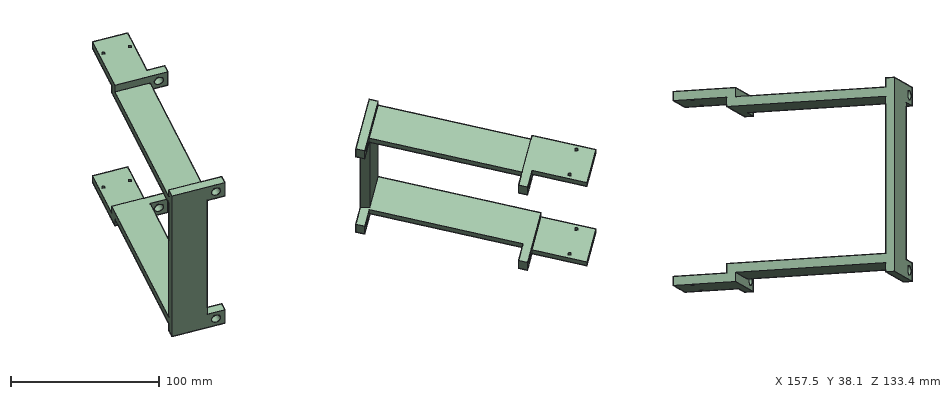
import cadquery as cq

length = 157.5
depth = 38.1
height = 133.4

thickness = 6.3
arm_width = 25.4
tip_length = 44.4
tab_height = 12.8
beam_thickness = tab_height - thickness
wall_rear_taper = 1.5

mount_hole_diameter = 6.5
mount_hole_inset = 6.5
pin_hole_diameter = 2.0
pin_hole_x = 12.8
pin_hole_edge = 3.1

top_z = height / 2
mount_hole_z = top_z - mount_hole_inset
step_x = tip_length - thickness
wall_x = length - thickness


def box(x, z, size_x, size_y, size_z):
    """Block with its lower front left corner at (x, 0, z)."""
    return cq.Workplane("XY").box(size_x, size_y, size_z, centered=False).translate((x, 0, z))


def make_upper_arm():
    """Stepped arm with a rear mounting tab at the step and one at the wall."""
    tip = box(0, top_z - thickness, tip_length, arm_width, thickness)
    beam = box(step_x, top_z - tab_height, length - step_x, arm_width, beam_thickness)
    arm = tip.union(beam)
    for tab_x in (step_x, wall_x):
        arm = arm.union(box(tab_x, top_z - tab_height, thickness, depth, tab_height))
    pins = (
        cq.Workplane("XY")
        .workplane(offset=top_z - thickness)
        .pushPoints([(pin_hole_x, pin_hole_edge), (pin_hole_x, arm_width - pin_hole_edge)])
        .circle(pin_hole_diameter / 2)
        .extrude(thickness)
    )
    mount_holes = (
        cq.Workplane("YZ")
        .center(depth - mount_hole_inset, mount_hole_z)
        .circle(mount_hole_diameter / 2)
        .extrude(length)
    )
    return arm.cut(pins).cut(mount_holes)


def make_wall():
    """Upright wall joining the arms, with a slanted rear edge widening outward."""
    return (
        cq.Workplane("XY")
        .workplane(offset=-top_z)
        .polyline([
            (wall_x, 0),
            (length, 0),
            (length, arm_width),
            (wall_x, arm_width - wall_rear_taper),
        ])
        .close()
        .extrude(height)
    )


upper_arm = make_upper_arm()
lower_arm = upper_arm.mirror("XY")
wall = make_wall()

result = wall.union(upper_arm).union(lower_arm)